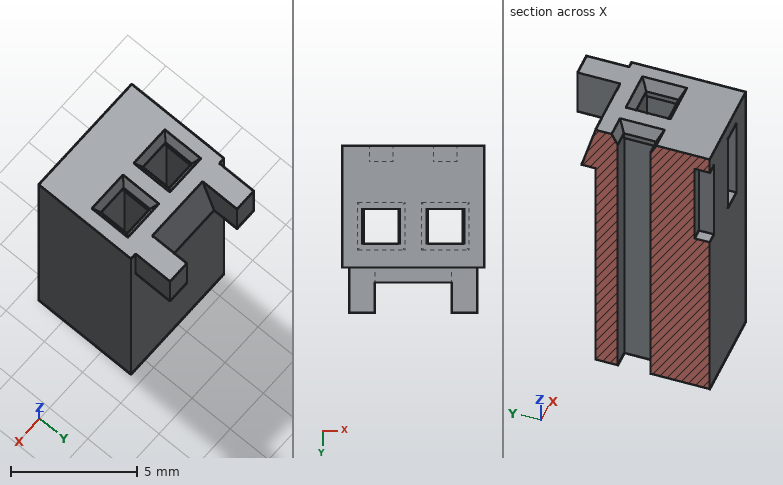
import cadquery as cq

body_width = 5.64
body_depth = 4.83
body_height = 12.7

contact_count = 2
contact_pitch = 2.54
contact_y = 3.2

neck_size = 1.37
lead_in_size = 1.88
lead_in_depth = 0.508
neck_length = 0.254
passage_width = 1.5

slot_width = 0.94
slot_height = 3.81
slot_depth = 0.635
slot_top_gap = lead_in_depth + neck_length

overall_depth = 6.63
arm_length = overall_depth - body_depth
arm_width = 1.02
arm_height = 2.15
arm_side_inset = 0.28

ramp_depth = 0.6
ramp_height = arm_height

arm_x = body_width / 2 - arm_side_inset - arm_width / 2
arm_gap = 2 * arm_x - arm_width
passage_height = body_height - lead_in_depth - neck_length
arm_bottom = body_height - arm_height
contact_xs = [(i - (contact_count - 1) / 2) * contact_pitch for i in range(contact_count)]


def corner_box(width, depth, height, x, y, z):
    """Box centred on x, reaching back from y and up from z."""
    return cq.Workplane("XY").box(width, depth, height, centered=(True, False, False)).translate((x, y, z))


def make_arm(x):
    """Straight arm at the top of the rear face."""
    return corner_box(arm_width, arm_length, arm_height, x, body_depth, arm_bottom)


def make_ramp():
    """Wedge between the arms."""
    return (
        cq.Workplane("YZ", origin=(-arm_gap / 2, body_depth, arm_bottom))
        .polyline([(0, 0), (ramp_depth, 0), (0, ramp_height)])
        .close()
        .extrude(arm_gap)
    )


def make_cavity(x):
    """Wide passage, narrower neck and flared lead-in, opening at both ends."""
    front_wall_y = contact_y - neck_size / 2
    passage = corner_box(passage_width, neck_size, passage_height, x, front_wall_y, 0)
    neck = corner_box(neck_size, neck_size, neck_length, x, front_wall_y, passage_height)
    lead_in = (
        cq.Workplane("XY", origin=(x, contact_y, body_height - lead_in_depth))
        .rect(neck_size, neck_size)
        .workplane(offset=lead_in_depth)
        .rect(lead_in_size, lead_in_size)
        .loft(ruled=True)
    )
    return passage.union(neck).union(lead_in)


def make_slot(x):
    """Shallow rectangular pocket in the front face."""
    slot_bottom = body_height - slot_top_gap - slot_height
    return corner_box(slot_width, slot_depth, slot_height, x, 0, slot_bottom)


result = corner_box(body_width, body_depth, body_height, 0, 0, 0)
for side in (-1, 1):
    result = result.union(make_arm(side * arm_x))
result = result.union(make_ramp())
for contact_x in contact_xs:
    result = result.cut(make_cavity(contact_x))
    result = result.cut(make_slot(contact_x))